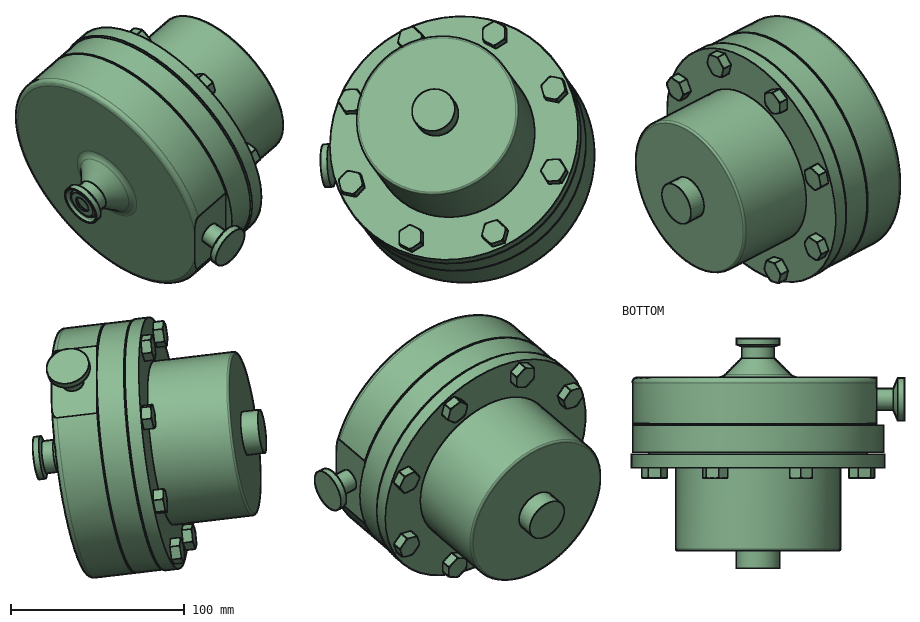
import cadquery as cq
import math

TOTAL_LENGTH_X = 157.2
TOTAL_LENGTH_Y = 132.2

HOUSING_RADIUS = 72.3
HOUSING_THICKNESS = 26.7
HOUSING_FILLET = 3.1
HOUSING_FLAT_X = 68.2
FRONT_GAP = 0.8
SPACER_THICKNESS = 15.7
REAR_GAP = 1.0
GAP_FLOOR_RADIUS = 62.9
FLANGE_RADIUS = 73.0
FLANGE_THICKNESS = 8.0
COVER_RADIUS = 47.5
COVER_LENGTH = 47.6
COVER_FILLET = 1.3
REAR_STUB_RADIUS = 12.5

SPACER_FRONT = HOUSING_THICKNESS + FRONT_GAP
SPACER_BACK = SPACER_FRONT + SPACER_THICKNESS
FLANGE_FRONT = SPACER_BACK + REAR_GAP
FLANGE_BACK = FLANGE_FRONT + FLANGE_THICKNESS
COVER_BACK = FLANGE_BACK + COVER_LENGTH

BOLT_COUNT = 8
BOLT_CIRCLE_RADIUS = 64.5
BOLT_HEAD_HEIGHT = 5.8
BOLT_ACROSS_FLATS = 12.9
BOLT_CORNER_CHAMFER = 0.5
BOLT_STEP = 360.0 / BOLT_COUNT
BOLT_START_ANGLE = BOLT_STEP / 2

FERRULE_RADIUS = 12.4

INLET_LENGTH = 22.3
INLET_NECK_RADIUS = 9.5
INLET_CONE_LENGTH = 11.0
INLET_CONE_ANGLE = 45.0
INLET_CONE_RADIUS = INLET_NECK_RADIUS + INLET_CONE_LENGTH / math.tan(math.radians(INLET_CONE_ANGLE))
INLET_BLEND_RADIUS = 6.3
INLET_RIM_THICKNESS = 3.6
INLET_RIM_ANGLE = 20.0
SEAL_GROOVE_OUTER_RADIUS = 11.6
SEAL_GROOVE_INNER_RADIUS = 8.3
SEAL_GROOVE_BOTTOM_RADIUS = 10.4
SEAL_GROOVE_DEPTH = 2.4
SEAL_GROOVE_WALL_DEPTH = 1.9
SEAL_GROOVE_FLOOR_HALF_WIDTH = 0.8
INLET_FACE_RECESS = 1.3
INLET_BORE_RADIUS = 4.9
INLET_BORE_DEPTH = 1.3

OUTLET_Y = 12.7
OUTLET_END_X = TOTAL_LENGTH_X - FLANGE_RADIUS
OUTLET_NECK_RADIUS = 6.3
OUTLET_RIM_THICKNESS = 4.0
OUTLET_CONE_LENGTH = 2.5
OUTLET_EMBED = 2.2
OUTLET_ROOT_X = HOUSING_FLAT_X - OUTLET_EMBED


def disc(radius, front, back):
    """Cylinder on the main axis between two Y positions."""
    return cq.Workplane("XZ", origin=(0, front, 0)).circle(radius).extrude(front - back)


def make_housing():
    housing = disc(HOUSING_RADIUS, 0, HOUSING_THICKNESS).faces("<Y").edges().fillet(HOUSING_FILLET)
    outside_flat = cq.Workplane("XY", origin=(HOUSING_FLAT_X, 0, 0)).box(
        HOUSING_RADIUS, HOUSING_THICKNESS, 2 * HOUSING_RADIUS, centered=(False, False, True)
    )
    return housing.cut(outside_flat)


def make_rear_stack():
    gap_floor = disc(GAP_FLOOR_RADIUS, HOUSING_THICKNESS, FLANGE_FRONT)
    spacer = disc(HOUSING_RADIUS, SPACER_FRONT, SPACER_BACK)
    flange = disc(FLANGE_RADIUS, FLANGE_FRONT, FLANGE_BACK)
    cover = disc(COVER_RADIUS, FLANGE_BACK, COVER_BACK).faces(">Y").edges().fillet(COVER_FILLET)
    stub = disc(REAR_STUB_RADIUS, COVER_BACK, TOTAL_LENGTH_Y - INLET_LENGTH)
    return gap_floor.union(spacer).union(flange).union(cover).union(stub)


def make_bolt_head(angle):
    """Hexagon head at an angle around the main axis; at the start angle a corner points to +X."""
    corner_radius = BOLT_ACROSS_FLATS / math.sqrt(3)
    head_back = FLANGE_BACK + BOLT_HEAD_HEIGHT
    plane = cq.Workplane("XZ", origin=(0, FLANGE_BACK, 0))
    hexagon = plane.polygon(6, 2 * corner_radius).extrude(-BOLT_HEAD_HEIGHT)
    turned_blank = disc(corner_radius, FLANGE_BACK, head_back).faces(">Y").chamfer(BOLT_CORNER_CHAMFER)
    return (
        hexagon.intersect(turned_blank)
        .rotate((0, 0, 0), (0, 1, 0), BOLT_START_ANGLE - angle)
        .translate((
            BOLT_CIRCLE_RADIUS * math.cos(math.radians(angle)),
            0,
            BOLT_CIRCLE_RADIUS * math.sin(math.radians(angle)),
        ))
    )


def make_inlet():
    rim_back = -INLET_LENGTH + INLET_RIM_THICKNESS
    rim_slope = (FERRULE_RADIUS - INLET_NECK_RADIUS) * math.tan(math.radians(INLET_RIM_ANGLE))

    half_cone_angle = math.radians(INLET_CONE_ANGLE / 2)
    blend_reach = INLET_BLEND_RADIUS * math.tan(half_cone_angle)
    blend_outer_radius = INLET_CONE_RADIUS + blend_reach
    blend_end = (
        INLET_CONE_RADIUS - blend_reach * math.cos(2 * half_cone_angle),
        -blend_reach * math.sin(2 * half_cone_angle),
    )
    blend_middle = (
        blend_outer_radius - INLET_BLEND_RADIUS * math.sin(half_cone_angle),
        -INLET_BLEND_RADIUS * (1 - math.cos(half_cone_angle)),
    )

    inlet = (
        cq.Workplane("XY")
        .moveTo(0, HOUSING_FILLET)
        .lineTo(blend_outer_radius, HOUSING_FILLET)
        .lineTo(blend_outer_radius, 0)
        .threePointArc(blend_middle, blend_end)
        .lineTo(INLET_NECK_RADIUS, -INLET_CONE_LENGTH)
        .lineTo(INLET_NECK_RADIUS, rim_back + rim_slope)
        .lineTo(FERRULE_RADIUS, rim_back)
        .lineTo(FERRULE_RADIUS, -INLET_LENGTH)
        .lineTo(0, -INLET_LENGTH)
        .close()
        .revolve(360, (0, 0, 0), (0, 1, 0))
    )

    face_y = -INLET_LENGTH + INLET_FACE_RECESS
    wall_end_y = -INLET_LENGTH + SEAL_GROOVE_WALL_DEPTH
    mouth = (
        cq.Workplane("XY")
        .moveTo(0, -INLET_LENGTH)
        .lineTo(SEAL_GROOVE_OUTER_RADIUS, -INLET_LENGTH)
        .lineTo(SEAL_GROOVE_BOTTOM_RADIUS + SEAL_GROOVE_FLOOR_HALF_WIDTH, wall_end_y)
        .threePointArc(
            (SEAL_GROOVE_BOTTOM_RADIUS, -INLET_LENGTH + SEAL_GROOVE_DEPTH),
            (SEAL_GROOVE_BOTTOM_RADIUS - SEAL_GROOVE_FLOOR_HALF_WIDTH, wall_end_y),
        )
        .lineTo(SEAL_GROOVE_INNER_RADIUS, face_y)
        .lineTo(0, face_y)
        .close()
        .revolve(360, (0, 0, 0), (0, 1, 0))
    )
    bore = disc(INLET_BORE_RADIUS, face_y, face_y + INLET_BORE_DEPTH)
    return inlet.cut(mouth).cut(bore)


def make_outlet():
    rim_start = OUTLET_END_X - OUTLET_RIM_THICKNESS
    profile = [
        (OUTLET_ROOT_X, 0),
        (OUTLET_ROOT_X, OUTLET_NECK_RADIUS),
        (rim_start - OUTLET_CONE_LENGTH, OUTLET_NECK_RADIUS),
        (rim_start, FERRULE_RADIUS),
        (OUTLET_END_X, FERRULE_RADIUS),
        (OUTLET_END_X, 0),
    ]
    outlet = cq.Workplane("XY").polyline(profile).close().revolve(360, (0, 0, 0), (1, 0, 0))
    return outlet.translate((0, OUTLET_Y, 0))


result = make_housing().union(make_rear_stack()).union(make_inlet()).union(make_outlet())
for index in range(BOLT_COUNT):
    result = result.union(make_bolt_head(BOLT_START_ANGLE + index * BOLT_STEP))